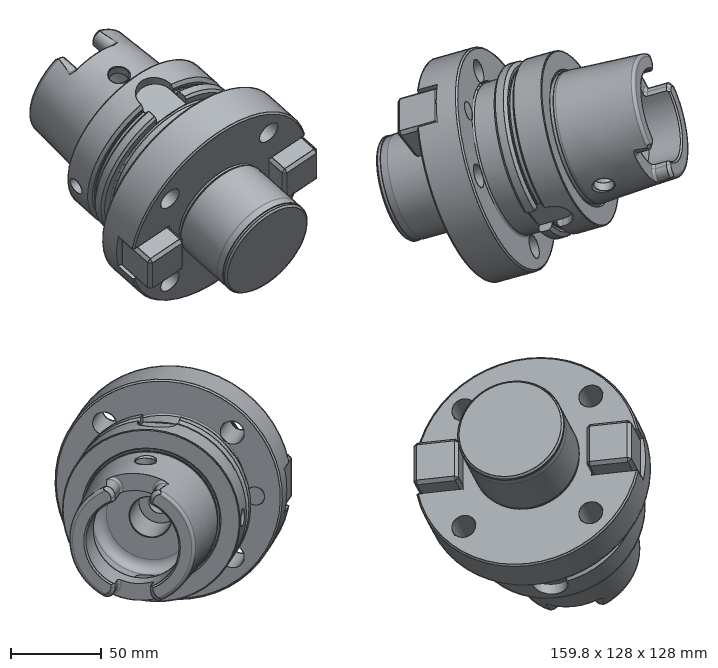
import cadquery as cq
import math


total_length = 159.8
taper_end = 46.8
collar_start = 49.5
groove_start = 68.0
groove_end = 71.3
collar_end = 79.1
flange_start = 94.5
flange_end = 119.5

nose_radius = 35.5
taper_radius = 37.9
nose_round = 1.9
root_relief_depth = 0.3
root_relief_width = 1.5
root_recess_depth = 1.0
root_recess_radius = 39.3
root_recess_slope = 0.8

nose_slot_half_width = 10.0
nose_slot_crest = 32.1
nose_slot_round = 5.0
nose_slot_shoulder_angle = 18.0
nose_slot_reach = 25.5
nose_slot_chamfer = 1.8
nose_slot_end_round = 1.6
nose_slot_start = 16.0
upper_nose_slot_depth = 15.0
lower_nose_slot_depth = 10.2

mouth_radius = 26.2
mouth_chamfer = 1.0
mouth_depth = 20.0
clamp_radius = 31.5
clamp_end = 40.7
cavity_round = 6.7
cavity_depth = clamp_end + cavity_round
tube_radius = 11.7
tube_chamfer = 0.3
tube_end = 71.9
coolant_radius = 6.0
coolant_end = 95.9

cross_hole_x = 35.0
cross_hole_radius = 5.8
cross_hole_chamfer = 0.8

collar_radius = 50.0
collar_front_chamfer = 0.5
collar_rear_chamfer = 1.5
groove_radius = 45.9
groove_chamfer_length = 1.6
groove_chamfer_drop = 2.2
groove_corner = 0.5

collar_slot_start = 54.8
collar_slot_floor = 44.0
upper_collar_slot_half_width = 10.9
lower_collar_slot_half_width = 9.6

chip_hole_x = 56.9
chip_hole_radius = 5.0
chip_hole_depth = 4.6

neck_radius = 43.6
neck_round = 1.0
flange_radius = 64.0
flange_chamfer = 1.0
bolt_circle_radius = 50.8
bolt_hole_radius = 6.7

pilot_radius = 30.0
root_groove_radius = 29.4
root_groove_width = 1.5
root_groove_slope = 1.0
tip_relief_start = 152.8
tip_relief_end = 157.1
tip_relief_radius = 29.5
tip_chamfer = 1.1

key_size = 25.2
key_half_width = 12.8
key_chamfer = 1.9
key_center = 48.9
key_start = 107.0
screw_radius = 5.3


def revolve_about_axis(outline):
    """Close a half outline drawn in X and radius, and turn it about the X axis."""
    return outline.close().revolve(360, (0, 0, 0), (1, 0, 0))


def cylinder_along_x(x_start, x_end, radius, y=0.0, z=0.0):
    return cq.Workplane(
        cq.Solid.makeCylinder(radius, x_end - x_start, cq.Vector(x_start, y, z), cq.Vector(1, 0, 0))
    )


def make_shank():
    relief_radius = taper_radius - root_relief_depth
    relief_start = collar_start - root_relief_width
    nose_corner = nose_round * math.sqrt(0.5)
    outline = (
        cq.Workplane("XY")
        .moveTo(0, 0)
        .lineTo(0, nose_radius - nose_round)
        .threePointArc(
            (nose_round - nose_corner, nose_radius - nose_round + nose_corner),
            (nose_round, nose_radius),
        )
        .lineTo(taper_end, taper_radius)
        .lineTo(relief_start, taper_radius)
        .lineTo(relief_start + root_relief_depth, relief_radius)
        .lineTo(collar_start, relief_radius)
        .lineTo(collar_start, 0)
    )
    return revolve_about_axis(outline)


def make_collar():
    groove_shoulder = collar_radius - groove_chamfer_drop
    root_radius = taper_radius - root_relief_depth
    recess_floor = collar_start + root_recess_depth
    outline = (
        cq.Workplane("XY")
        .moveTo(collar_start, 0)
        .lineTo(collar_start, root_radius)
        .lineTo(recess_floor, root_radius)
        .lineTo(recess_floor, root_recess_radius - root_recess_slope)
        .lineTo(collar_start, root_recess_radius)
        .lineTo(collar_start, collar_radius - collar_front_chamfer)
        .lineTo(collar_start + collar_front_chamfer, collar_radius)
        .lineTo(groove_start - groove_chamfer_length, collar_radius)
        .lineTo(groove_start, groove_shoulder)
        .lineTo(groove_start, groove_radius + groove_corner)
        .lineTo(groove_start + groove_corner, groove_radius)
        .lineTo(groove_end - groove_corner, groove_radius)
        .lineTo(groove_end, groove_radius + groove_corner)
        .lineTo(groove_end, groove_shoulder)
        .lineTo(groove_end + groove_chamfer_length, collar_radius)
        .lineTo(collar_end - collar_rear_chamfer, collar_radius)
        .lineTo(collar_end, collar_radius - collar_rear_chamfer)
        .lineTo(collar_end, 0)
    )
    return revolve_about_axis(outline)


def make_neck():
    outer = neck_radius + neck_round
    outline = (
        cq.Workplane("XY")
        .moveTo(collar_end, 0)
        .lineTo(collar_end, outer)
        .radiusArc((collar_end + neck_round, neck_radius), -neck_round)
        .lineTo(flange_start - neck_round, neck_radius)
        .radiusArc((flange_start, outer), -neck_round)
        .lineTo(flange_start, 0)
    )
    return revolve_about_axis(outline)


def make_flange():
    return cylinder_along_x(flange_start, flange_end, flange_radius).edges().chamfer(flange_chamfer)


def make_pilot():
    groove_stop = flange_end + root_groove_width
    tip_radius = pilot_radius - tip_chamfer
    outline = (
        cq.Workplane("XY")
        .moveTo(flange_end, 0)
        .lineTo(flange_end, root_groove_radius)
        .lineTo(groove_stop, root_groove_radius)
        .lineTo(groove_stop + root_groove_slope, pilot_radius)
        .lineTo(tip_relief_start, pilot_radius)
        .lineTo(tip_relief_end, tip_relief_radius)
        .lineTo(tip_relief_end, pilot_radius)
        .lineTo(total_length - tip_chamfer, pilot_radius)
        .lineTo(total_length, tip_radius)
        .lineTo(total_length, 0)
    )
    return revolve_about_axis(outline)


def nose_slot_outline(x, grow):
    """Slot between the nose halves, widening over a rounded crest to sloping shoulders; grown by `grow`."""
    angle = math.radians(nose_slot_shoulder_angle)
    wall = nose_slot_half_width + grow
    crest = nose_slot_crest - grow
    center_y = wall + nose_slot_round
    center_z = crest - nose_slot_round
    arc_end_y = center_y + nose_slot_round * math.sin(angle)
    arc_end_z = center_z + nose_slot_round * math.cos(angle)
    shoulder_z = arc_end_z - (nose_slot_reach - arc_end_y) * math.tan(angle)
    half_slot = (
        cq.Workplane("YZ", origin=(x, 0, 0))
        .moveTo(0, nose_slot_start)
        .lineTo(wall, nose_slot_start)
        .lineTo(wall, center_z)
        .threePointArc(
            (center_y - nose_slot_round * math.sqrt(0.5), center_z + nose_slot_round * math.sqrt(0.5)),
            (arc_end_y, arc_end_z),
        )
        .lineTo(nose_slot_reach, shoulder_z)
        .lineTo(nose_slot_reach, collar_radius)
        .lineTo(0, collar_radius)
    )
    return half_slot.mirrorY()


def make_nose_slot_cutter(depth):
    """Cutter for the +Z side, rounded at its end and flared at the nose."""
    slot = nose_slot_outline(0, 0).extrude(depth).faces(">X").edges("not(>Z or <Z or >Y or <Y)")
    slot = slot.fillet(nose_slot_end_round)
    wide = nose_slot_outline(0, nose_slot_chamfer).wires().val()
    narrow = nose_slot_outline(nose_slot_chamfer, 0).wires().val()
    flare = cq.Workplane(cq.Solid.makeLoft([wide, narrow], True))
    return slot.union(flare)


def make_cavity_cutter():
    outline = (
        cq.Workplane("XY")
        .moveTo(0, 0)
        .lineTo(0, mouth_radius + mouth_chamfer)
        .lineTo(mouth_chamfer, mouth_radius)
        .lineTo(mouth_depth, mouth_radius)
        .lineTo(mouth_depth, clamp_radius)
        .lineTo(clamp_end, clamp_radius)
        .radiusArc((cavity_depth, clamp_radius - cavity_round), cavity_round)
        .lineTo(cavity_depth, tube_radius + tube_chamfer)
        .lineTo(cavity_depth + tube_chamfer, tube_radius)
        .lineTo(tube_end, tube_radius)
        .lineTo(tube_end, coolant_radius)
        .lineTo(coolant_end, coolant_radius)
        .lineTo(coolant_end, 0)
    )
    return revolve_about_axis(outline)


def make_cross_hole_cutter():
    """Cylinder through the shank, flared where it leaves the taper at both sides."""
    slope = (taper_radius - nose_radius) / (taper_end - nose_round)
    surface = nose_radius + slope * (cross_hole_x - nose_round)
    flare_start = surface - cross_hole_chamfer
    flare_radius = cross_hole_radius + taper_radius - flare_start
    outline = (
        cq.Workplane("XZ", origin=(cross_hole_x, 0, 0))
        .moveTo(0, -taper_radius)
        .lineTo(flare_radius, -taper_radius)
        .lineTo(cross_hole_radius, -flare_start)
        .lineTo(cross_hole_radius, flare_start)
        .lineTo(flare_radius, taper_radius)
        .lineTo(0, taper_radius)
    )
    return outline.close().revolve(360, (0, 0, 0), (0, 1, 0))


def make_collar_slot_cutter(half_width):
    """Round-ended cutter for the +Z side of the collar, open toward the neck."""
    round_center = collar_slot_start + half_width
    return (
        cq.Workplane("XY", origin=(0, 0, collar_slot_floor))
        .moveTo(collar_end, half_width)
        .lineTo(round_center, half_width)
        .threePointArc((collar_slot_start, 0), (round_center, -half_width))
        .lineTo(collar_end, -half_width)
        .close()
        .extrude(collar_radius - collar_slot_floor)
    )


def make_chip_hole_cutter():
    floor = cq.Vector(chip_hole_x, chip_hole_depth - collar_radius, 0)
    return cq.Workplane(
        cq.Solid.makeCylinder(chip_hole_radius, chip_hole_depth, floor, cq.Vector(0, -1, 0))
    )


def make_key_slot_cutter(side):
    slot_inner = key_center - key_size / 2
    return cq.Workplane("XY").box(
        flange_end - key_start,
        flange_radius - slot_inner,
        2 * key_half_width,
    ).translate(((key_start + flange_end) / 2, side * (slot_inner + flange_radius) / 2, 0))


def to_lower_side(cutter):
    return cutter.rotate((0, 0, 0), (1, 0, 0), 180)


def make_arbor():
    arbor = make_shank().union(make_collar()).union(make_neck()).union(make_flange()).union(make_pilot())

    arbor = arbor.cut(make_nose_slot_cutter(upper_nose_slot_depth))
    arbor = arbor.cut(to_lower_side(make_nose_slot_cutter(lower_nose_slot_depth)))
    arbor = arbor.cut(make_cavity_cutter())
    arbor = arbor.cut(make_cross_hole_cutter())

    arbor = arbor.cut(make_collar_slot_cutter(upper_collar_slot_half_width))
    arbor = arbor.cut(to_lower_side(make_collar_slot_cutter(lower_collar_slot_half_width)))
    arbor = arbor.cut(make_chip_hole_cutter())

    bolt_offset = bolt_circle_radius * math.sqrt(0.5)
    for y_side in (1, -1):
        for z_side in (1, -1):
            bolt_hole = cylinder_along_x(
                flange_start, flange_end, bolt_hole_radius, y_side * bolt_offset, z_side * bolt_offset
            )
            arbor = arbor.cut(bolt_hole)

    for side in (1, -1):
        arbor = arbor.cut(make_key_slot_cutter(side))
        arbor = arbor.cut(make_screw(side))
    return arbor


def make_key(side):
    """Drive key with every edge chamfered except those along Y at its slot floor."""
    block = cq.Workplane("XY").box(key_size, key_size, 2 * key_half_width)
    block = block.edges("not(<X and |Y)").chamfer(key_chamfer)
    return block.translate((key_start + key_size / 2, side * key_center, 0))


def make_screw(side):
    """Key screw reaching from the front of the flange to the key."""
    return cylinder_along_x(flange_start, key_start, screw_radius, side * key_center)


arbor = make_arbor()
keys = [make_key(side) for side in (1, -1)]
screws = [make_screw(side) for side in (1, -1)]

bodies = [arbor, *keys, *screws]
result = cq.Compound.makeCompound([body.val() for body in bodies])